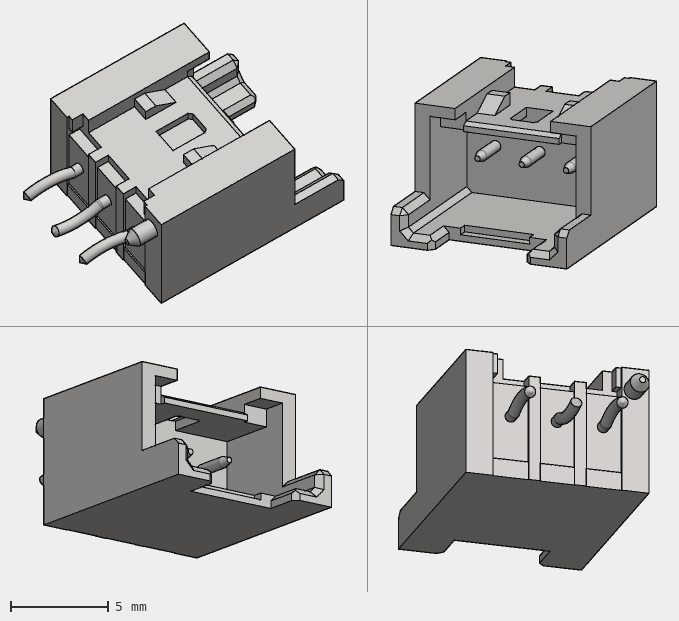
import cadquery as cq
import math


WIDTH = 9.9
TOTAL_LENGTH = 14.93
BODY_LENGTH = 11.51
HOOD_LENGTH = 8.42
HEIGHT = 6.8
ROOF_TOP = 5.72
ROOF_LENGTH = 7.33
ROOF_SLOPE_RUN = 0.28
ROOF_SLOPE_DROP = 0.18
CHANNEL_HALF_WIDTH = 2.69

CAVITY_HALF_WIDTH = 4.1
CAVITY_BACK = 3.7
FLOOR_TOP = 0.72
CEILING = 5.23
MOUTH_CEILING = 6.18
FLOOR_CORNER = 0.28

RIM_TOP = 2.02
LEAD_IN = 0.35
ENTRY_FLOOR_GROWTH = 0.15
ARM_INNER = 2.58
ARM_BEVEL = 0.31
FLOOR_LENGTH = 9.44
NOTCH_HALF_WIDTH = 1.94
NOTCH_LENGTH = 0.54
NOTCH_DEPTH = 0.36

WINDOW_WIDTH = 1.51
WINDOW_FRONT = 5.9
WINDOW_CORNER = 0.18
RAMP_INNER = 1.69
RAMP_TOP = 6.39
RAMP_FRONT = 5.61
RAMP_CREST = 4.35

PITCH = 2.5
PIN_RADIUS = 0.3
PIN_Z = 3.4
PIN_CONTACT_END = 5.51
PIN_CONTACT_TIP = 0.51
PIN_CONTACT_TIP_RADIUS = 0.15
PIN_ROOT = 0.39
PIN_BOW_HALF_LENGTH = 1.58
PIN_BOW_HEIGHT = 0.35
PIN_BOW_END = 3.2

BAY_OUTER = 3.48
RIB_INNER = 0.93
RIB_OUTER = 1.55
BAY_DEPTH = 0.13
SILL_DEPTH = 0.05
SILL_TOP = 0.99
POCKET_FLOOR = 5.18
POCKET_DEPTH = 0.8
POCKET_OUTER = 3.2

PEG_X = CAVITY_HALF_WIDTH
PEG_Z = 5.6
PEG_RADIUS = 0.51
PEG_LENGTH = 1.07
PEG_TIP_LENGTH = 0.5
PEG_TIP_RADIUS = 0.16

OVERCUT = 0.15


def block(x0, x1, y0, y1, z0, z1):
    """Box between two opposite corners."""
    return cq.Workplane("XY").box(x1 - x0, y1 - y0, z1 - z0, centered=False).translate((x0, y0, z0))


def prism_along_y(points, y0, y1):
    """Extrude an (x, z) outline from y0 to y1."""
    return cq.Workplane("XZ", origin=(0, y0, 0)).polyline(points).close().extrude(y0 - y1)


def prism_along_x(points, x0, x1):
    """Extrude a (y, z) outline from x0 to x1."""
    return cq.Workplane("YZ", origin=(x0, 0, 0)).polyline(points).close().extrude(x1 - x0)


def both_sides(shape):
    """Add the mirror image about the YZ plane."""
    return shape.union(shape.mirror("YZ"))


def cavity_outline(wall_half, floor_half, floor_z, top_z):
    """Symmetric (x, z) section with upright walls and 45-degree floor corners."""
    corner_top = floor_z + wall_half - floor_half
    right_side = [(floor_half, floor_z), (wall_half, corner_top), (wall_half, top_z)]
    left_side = [(-x, z) for x, z in reversed(right_side)]
    return left_side + right_side


def loft_back(front_outline, back_outline, front_y, length):
    """Straight-sided transition from one (x, z) outline back to another."""
    return (
        cq.Workplane("XZ", origin=(0, front_y, 0))
        .polyline(front_outline).close()
        .workplane(offset=length)
        .polyline(back_outline).close()
        .loft(ruled=True)
    )


def make_shell():
    """Outer housing with the stepped roof, low front arms and floor edge."""
    half = WIDTH / 2
    shell = block(-half, half, 0, BODY_LENGTH, 0, HEIGHT)

    shell = shell.cut(block(-half, half, HOOD_LENGTH, BODY_LENGTH, RIM_TOP, HEIGHT))

    slope_start = ROOF_LENGTH - ROOF_SLOPE_RUN
    roof_cut = [
        (0, ROOF_TOP),
        (slope_start, ROOF_TOP),
        (ROOF_LENGTH, ROOF_TOP - ROOF_SLOPE_DROP),
        (ROOF_LENGTH, FLOOR_TOP),
        (HOOD_LENGTH, FLOOR_TOP),
        (HOOD_LENGTH, HEIGHT),
        (0, HEIGHT),
    ]
    shell = shell.cut(prism_along_x(roof_cut, -CHANNEL_HALF_WIDTH, CHANNEL_HALF_WIDTH))

    gap = block(-ARM_INNER, ARM_INNER, FLOOR_LENGTH, BODY_LENGTH, 0, HEIGHT)
    return shell.cut(gap)


def make_cavity():
    """Mating cavity with its tall mouth and flared entry."""
    floor_half = CAVITY_HALF_WIDTH - FLOOR_CORNER
    section = cavity_outline(CAVITY_HALF_WIDTH, floor_half, FLOOR_TOP, CEILING)
    cavity = prism_along_y(section, CAVITY_BACK, BODY_LENGTH)

    mouth_back = ROOF_LENGTH - ROOF_SLOPE_RUN
    mouth = block(CHANNEL_HALF_WIDTH, CAVITY_HALF_WIDTH, mouth_back, HOOD_LENGTH, RIM_TOP, MOUTH_CEILING)
    cavity = cavity.union(both_sides(mouth))

    tip_section = cavity_outline(
        CAVITY_HALF_WIDTH + LEAD_IN, floor_half + ENTRY_FLOOR_GROWTH, FLOOR_TOP - LEAD_IN, CEILING,
    )
    return cavity.union(loft_back(tip_section, section, BODY_LENGTH, LEAD_IN))


def make_arm_bevels():
    """Bevels on the rims, the arm tips and the arms' inner edges."""
    inner_bevel_end = ARM_INNER + ARM_BEVEL

    rim_edge = [
        (CAVITY_HALF_WIDTH, RIM_TOP - LEAD_IN),
        (CAVITY_HALF_WIDTH + LEAD_IN, RIM_TOP),
        (CAVITY_HALF_WIDTH, RIM_TOP),
    ]
    dropped_rim_edge = [(x, z - LEAD_IN) for x, z in rim_edge]
    rim_bevel = prism_along_y(rim_edge, HOOD_LENGTH, BODY_LENGTH)
    rim_bevel = rim_bevel.union(loft_back(dropped_rim_edge, rim_edge, BODY_LENGTH, LEAD_IN))

    floor_bevel = prism_along_y(
        [(ARM_INNER, FLOOR_TOP - ARM_BEVEL), (inner_bevel_end, FLOOR_TOP), (ARM_INNER, FLOOR_TOP)],
        FLOOR_LENGTH, BODY_LENGTH,
    )
    tip_corner = (
        cq.Workplane("XY")
        .polyline([
            (ARM_INNER, BODY_LENGTH - ARM_BEVEL),
            (inner_bevel_end, BODY_LENGTH),
            (ARM_INNER, BODY_LENGTH),
        ])
        .close().extrude(FLOOR_TOP)
    )
    rim_tip = prism_along_x(
        [(BODY_LENGTH - LEAD_IN, RIM_TOP), (BODY_LENGTH, RIM_TOP - LEAD_IN), (BODY_LENGTH, RIM_TOP)],
        CAVITY_HALF_WIDTH, WIDTH / 2,
    )
    return both_sides(rim_bevel.union(floor_bevel).union(tip_corner).union(rim_tip))


def make_floor_notch():
    """Shallow step in the front edge of the floor."""
    return block(
        -NOTCH_HALF_WIDTH, NOTCH_HALF_WIDTH,
        FLOOR_LENGTH - NOTCH_LENGTH, FLOOR_LENGTH,
        FLOOR_TOP - NOTCH_DEPTH, FLOOR_TOP,
    )


def make_window():
    """Opening through the roof over the middle pin."""
    half = WINDOW_WIDTH / 2
    opening = block(-half, half, CAVITY_BACK, WINDOW_FRONT, CEILING - OVERCUT, ROOF_TOP)
    return opening.edges("|Z and >Y").chamfer(WINDOW_CORNER)


def make_ramps():
    """Locking ramps on the roof against both side walls."""
    outline = [
        (RAMP_FRONT, ROOF_TOP),
        (RAMP_CREST, RAMP_TOP),
        (CAVITY_BACK, RAMP_TOP),
        (CAVITY_BACK, ROOF_TOP),
    ]
    return both_sides(prism_along_x(outline, RAMP_INNER, CHANNEL_HALF_WIDTH))


def make_rear_bays():
    """Recesses behind the pins, parted by two ribs, with a pocket over each."""
    def bay(x0, x1, upper_x1):
        return (
            block(x0, x1, 0, SILL_DEPTH, 0, SILL_TOP)
            .union(block(x0, x1, 0, BAY_DEPTH, SILL_TOP, HEIGHT))
            .union(block(x0, x1, 0, POCKET_DEPTH, POCKET_FLOOR, ROOF_TOP))
            .union(block(x0, upper_x1, 0, POCKET_DEPTH, ROOF_TOP, HEIGHT))
        )

    outer_bays = both_sides(bay(RIB_OUTER, BAY_OUTER, POCKET_OUTER))
    return outer_bays.union(bay(-RIB_INNER, RIB_INNER, RIB_INNER))


def taper(start, direction, length, base_radius, tip_radius):
    """Cone or truncated cone from a start point along a direction."""
    return cq.Workplane(cq.Solid.makeCone(base_radius, tip_radius, length, start, direction))


def make_pin(x, bow):
    """Pin with a straight contact and a tail bowed up (bow=1) or down (bow=-1)."""
    shaft_length = PIN_CONTACT_END + PIN_ROOT
    shaft = cq.Workplane("XZ", origin=(x, PIN_CONTACT_END, PIN_Z)).circle(PIN_RADIUS).extrude(shaft_length)
    contact_tip = taper(
        cq.Vector(x, PIN_CONTACT_END, PIN_Z), cq.Vector(0, 1, 0),
        PIN_CONTACT_TIP, PIN_RADIUS, PIN_CONTACT_TIP_RADIUS,
    )

    bow_radius = (PIN_BOW_HALF_LENGTH**2 + PIN_BOW_HEIGHT**2) / (2 * PIN_BOW_HEIGHT)
    crest_y = -PIN_ROOT - PIN_BOW_HALF_LENGTH
    centre_z = PIN_BOW_HEIGHT - bow_radius
    start_angle = math.asin(PIN_BOW_HALF_LENGTH / bow_radius)
    end_angle = math.asin((PIN_BOW_END + crest_y) / bow_radius)
    end_z = PIN_Z + bow * (centre_z + bow_radius * math.cos(end_angle))

    root = cq.Vector(x, -PIN_ROOT, PIN_Z)
    crest = cq.Vector(x, crest_y, PIN_Z + bow * PIN_BOW_HEIGHT)
    end = cq.Vector(x, -PIN_BOW_END, end_z)
    start_direction = cq.Vector(0, -math.cos(start_angle), bow * math.sin(start_angle))
    end_direction = cq.Vector(0, -math.cos(end_angle), -bow * math.sin(end_angle))

    path = cq.Workplane(cq.Edge.makeThreePointArc(root, crest, end))
    start_plane = cq.Plane(origin=root, xDir=(1, 0, 0), normal=start_direction)
    tail = cq.Workplane(start_plane).circle(PIN_RADIUS).sweep(path)
    joint = cq.Workplane("XY", origin=root.toTuple()).sphere(PIN_RADIUS)
    point_length = (TOTAL_LENGTH - BODY_LENGTH - PIN_BOW_END) / math.cos(end_angle)
    point = taper(end, end_direction, point_length, PIN_RADIUS, 0)
    return shaft.union(contact_tip).union(joint).union(tail).union(point)


def make_peg():
    """Locating peg with a conical tip on the rear face."""
    shank = cq.Workplane("XZ", origin=(PEG_X, 0, PEG_Z)).circle(PEG_RADIUS).extrude(PEG_LENGTH)
    tip = taper(
        cq.Vector(PEG_X, -PEG_LENGTH, PEG_Z), cq.Vector(0, -1, 0),
        PEG_TIP_LENGTH, PEG_RADIUS, PEG_TIP_RADIUS,
    )
    return shank.union(tip)


result = make_shell()
for cutter in (make_cavity(), make_arm_bevels(), make_floor_notch(), make_window(), make_rear_bays()):
    result = result.cut(cutter)

result = result.union(make_ramps()).union(make_peg())
for pin_x, pin_bow in ((-PITCH, 1), (0, -1), (PITCH, 1)):
    result = result.union(make_pin(pin_x, pin_bow))